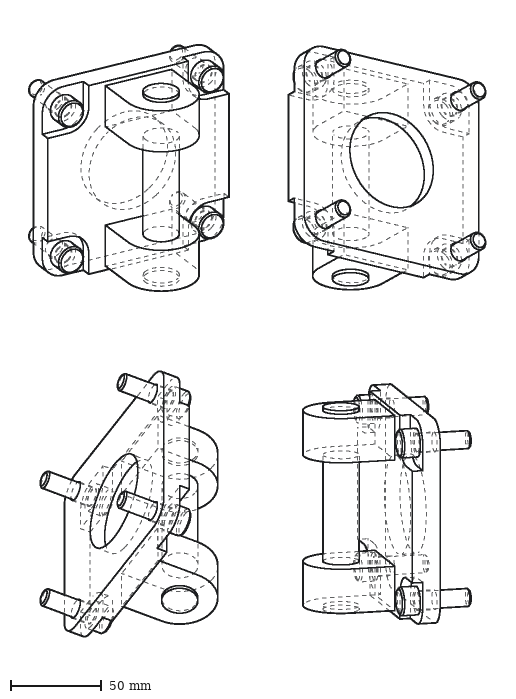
import cadquery as cq

plate_side = 115.0
plate_thickness = 16.0
corner_radius = 13.0

recess_diameter = 55.0
recess_depth = 9.0

bolt_offset = plate_side / 2 - corner_radius
seat_x = 10.0
pocket_radius = corner_radius
clearance_hole_diameter = 10.9
corner_signs = [(-1, -1), (1, -1), (1, 1), (-1, 1)]

shank_diameter = 10.0
shank_protrusion = 20.0
head_diameter = 15.9
head_height = 10.0
shank_chamfer = 1.0
head_chamfer = 1.0

lug_width = 42.0
lug_thickness = 25.0
lug_gap = 60.0
bar_x = 41.0
bar_diameter = 20.0
bar_length = 114.0


def make_plate():
    """Square plate with rounded corners and a round recess in its front face."""
    plate = (
        cq.Workplane("YZ")
        .rect(plate_side, plate_side)
        .extrude(plate_thickness)
        .edges("|X")
        .fillet(corner_radius)
    )
    recess = cq.Workplane("YZ").circle(recess_diameter / 2).extrude(recess_depth)
    return plate.cut(recess)


def make_corner_cut(y_sign, z_sign):
    """Head pocket, open to both outer sides of one corner, with its bolt hole."""
    y_bolt = y_sign * bolt_offset
    z_bolt = z_sign * bolt_offset
    y_inner = y_bolt - y_sign * pocket_radius
    z_inner = z_bolt - z_sign * pocket_radius
    y_outer = y_sign * plate_side / 2
    z_outer = z_sign * plate_side / 2
    pocket_depth = plate_thickness - seat_x

    seat_plane = cq.Workplane("YZ").workplane(offset=seat_x)
    round_end = seat_plane.center(y_bolt, z_bolt).circle(pocket_radius).extrude(pocket_depth)
    side_opening = (
        seat_plane.moveTo(y_bolt, z_inner)
        .lineTo(y_outer, z_inner)
        .lineTo(y_outer, z_outer)
        .lineTo(y_inner, z_outer)
        .lineTo(y_inner, z_bolt)
        .lineTo(y_bolt, z_bolt)
        .close()
        .extrude(pocket_depth)
    )
    hole = (
        cq.Workplane("YZ")
        .center(y_bolt, z_bolt)
        .circle(clearance_hole_diameter / 2)
        .extrude(plate_thickness)
    )
    return round_end.union(side_opening).union(hole)


def make_lug(z_bottom):
    """Flat lug with a full round end, centred on the cross bar."""
    half_width = lug_width / 2
    return (
        cq.Workplane("XY")
        .workplane(offset=z_bottom)
        .moveTo(plate_thickness, -half_width)
        .lineTo(bar_x, -half_width)
        .threePointArc((bar_x + half_width, 0), (bar_x, half_width))
        .lineTo(plate_thickness, half_width)
        .close()
        .extrude(lug_thickness)
    )


def make_bracket():
    """Plate, lugs and cross bar as one solid."""
    bracket = make_plate()
    for y_sign, z_sign in corner_signs:
        bracket = bracket.cut(make_corner_cut(y_sign, z_sign))
    for z_bottom in (lug_gap / 2, -lug_gap / 2 - lug_thickness):
        bracket = bracket.union(make_lug(z_bottom))
    bar = (
        cq.Workplane("XY")
        .workplane(offset=-bar_length / 2)
        .center(bar_x, 0)
        .circle(bar_diameter / 2)
        .extrude(bar_length)
    )
    return bracket.union(bar)


def make_bolt(y_bolt, z_bolt):
    """Cylinder-head bolt along X, with its head resting on the pocket floor."""
    shank = (
        cq.Workplane("YZ")
        .workplane(offset=-shank_protrusion)
        .center(y_bolt, z_bolt)
        .circle(shank_diameter / 2)
        .extrude(shank_protrusion + seat_x)
        .faces("<X")
        .chamfer(shank_chamfer)
    )
    head = (
        cq.Workplane("YZ")
        .workplane(offset=seat_x)
        .center(y_bolt, z_bolt)
        .circle(head_diameter / 2)
        .extrude(head_height)
        .faces(">X")
        .chamfer(head_chamfer)
    )
    return shank.union(head)


bracket = make_bracket()
bolts = [
    make_bolt(y_sign * bolt_offset, z_sign * bolt_offset)
    for y_sign, z_sign in corner_signs
]

result = cq.Compound.makeCompound([bracket.val(), *[bolt.val() for bolt in bolts]])